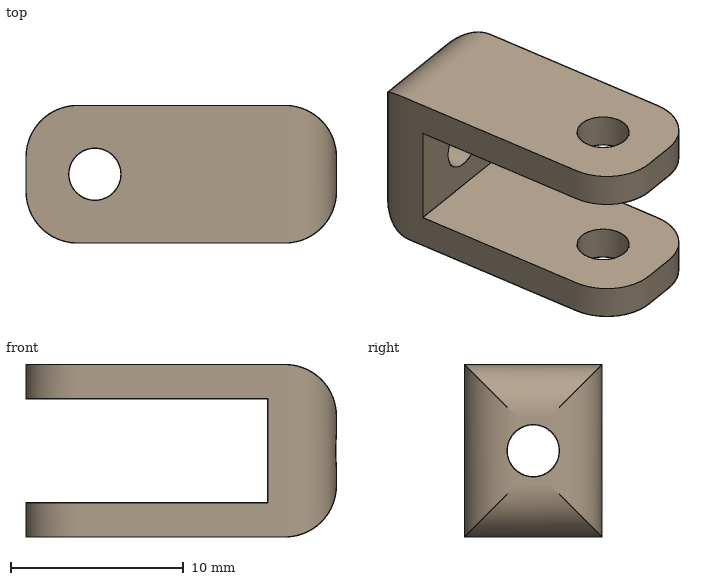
import cadquery as cq

length = 18.0
width = 8.0
height = 10.0

arm_thickness = 2.0
slot_depth = 14.0
round_radius = 3.0
hole_diameter = 3.0
pin_hole_x = width / 2

slot_height = height - 2 * arm_thickness
bridge_thickness = length - slot_depth


def make_body():
    """Block with rounded arm tips (vertical edges) and a rounded closed end."""
    block = cq.Workplane("XY").box(length, width, height, centered=(False, True, True))
    block = block.faces("<X").edges("|Z").fillet(round_radius)
    return block.faces(">X").edges().fillet(round_radius)


def make_slot():
    """Opening between the two arms, through the full width."""
    return cq.Workplane("XY").box(slot_depth, width, slot_height, centered=(False, True, True))


def make_pin_hole():
    """Vertical hole through both arms."""
    return (
        cq.Workplane("XY", origin=(pin_hole_x, 0, -height / 2))
        .circle(hole_diameter / 2)
        .extrude(height)
    )


def make_end_hole():
    """Hole along X through the bridge joining the arms."""
    return (
        cq.Workplane("YZ", origin=(slot_depth, 0, 0))
        .circle(hole_diameter / 2)
        .extrude(bridge_thickness)
    )


result = make_body().cut(make_slot()).cut(make_pin_hole()).cut(make_end_hole())